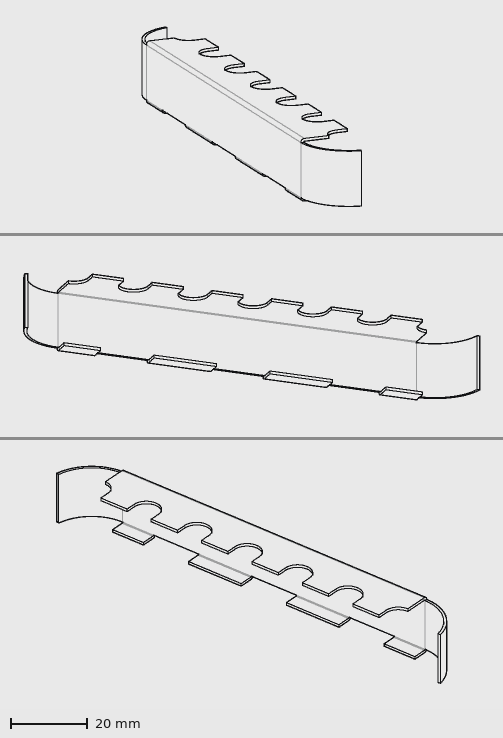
import cadquery as cq
import math

sheet = 0.8
bend_radius = 1.0
wall_height = 15.0

curl_radius = 13.75
curl_angle = 80.0

top_flange_depth = 15.0
notch_count = 7
notch_pitch = 16.75
notch_width = 8.0
notch_depth = 7.0

bottom_tab_depth = 5.0
end_tab_length = 10.25
tab_gap = 15.0
gap_count = 3

wall_length = (notch_count - 1) * notch_pitch
half_length = wall_length / 2
inner_bend_radius = bend_radius - sheet
middle_tab_length = (wall_length - 2 * end_tab_length - gap_count * tab_gap) / (gap_count - 1)


def make_flange(x_start, length, depth):
    """Top flange with its bend, starting at the upper edge of the wall."""
    diagonal = math.sqrt(0.5)
    bend_z = wall_height
    outer_mid = (bend_radius * (1 - diagonal), bend_z + bend_radius * diagonal)
    inner_mid = (bend_radius - inner_bend_radius * diagonal, bend_z + inner_bend_radius * diagonal)
    return (
        cq.Workplane("YZ", origin=(x_start, 0, 0))
        .moveTo(0, bend_z)
        .threePointArc(outer_mid, (bend_radius, bend_z + bend_radius))
        .lineTo(depth, bend_z + bend_radius)
        .lineTo(depth, bend_z + inner_bend_radius)
        .lineTo(bend_radius, bend_z + inner_bend_radius)
        .threePointArc(inner_mid, (sheet, bend_z))
        .close()
        .extrude(length)
    )


def make_wall():
    return cq.Workplane("XY").box(wall_length, sheet, wall_height, centered=(True, False, False))


def make_right_curl():
    """Arc strip that leaves the wall tangentially and curls toward +Y."""
    sweep = math.radians(curl_angle)
    inner_radius = curl_radius - sheet

    def arc_point(radius, angle):
        return (half_length + radius * math.sin(angle), curl_radius - radius * math.cos(angle))

    return (
        cq.Workplane("XY")
        .moveTo(*arc_point(curl_radius, 0))
        .threePointArc(arc_point(curl_radius, sweep / 2), arc_point(curl_radius, sweep))
        .lineTo(*arc_point(inner_radius, sweep))
        .threePointArc(arc_point(inner_radius, sweep / 2), arc_point(inner_radius, 0))
        .close()
        .extrude(wall_height)
    )


def make_notches():
    """Cutters for the notches, including the half notches at both ends."""
    notch_radius = notch_width / 2
    notch_bottom = top_flange_depth - notch_depth
    round_center = notch_bottom + notch_radius
    centers = [(-half_length + i * notch_pitch, 0) for i in range(notch_count)]
    rounds = (
        cq.Workplane("XY", origin=(0, round_center, wall_height))
        .pushPoints(centers)
        .circle(notch_radius)
        .extrude(bend_radius)
    )
    slots = (
        cq.Workplane("XY", origin=(0, round_center, wall_height))
        .pushPoints(centers)
        .box(notch_width, top_flange_depth - round_center, bend_radius, centered=(True, False, False))
    )
    return rounds.union(slots)


def make_top_flange():
    return make_flange(-half_length, wall_length, top_flange_depth).cut(make_notches())


def make_bottom_tabs():
    """Tabs bent like the top flange, mirrored to the lower edge of the wall."""
    lengths = [end_tab_length] + [middle_tab_length] * (gap_count - 1) + [end_tab_length]
    tabs = cq.Workplane("XY")
    x_start = -half_length
    for length in lengths:
        tabs = tabs.add(make_flange(x_start, length, bottom_tab_depth))
        x_start += length + tab_gap
    return tabs.combine().mirror("XY", (0, 0, wall_height / 2))


right_curl = make_right_curl()
result = (
    make_wall()
    .union(right_curl)
    .union(right_curl.mirror("YZ"))
    .union(make_top_flange())
    .union(make_bottom_tabs())
)